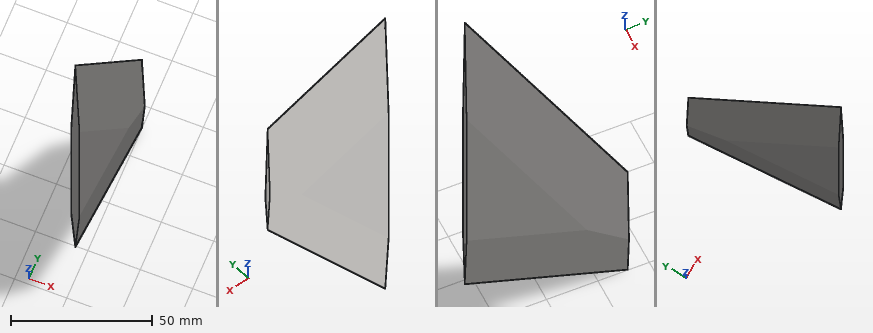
import cadquery as cq

height = 177.8
chord = 63.5
thickness = 3.2
far_edge_top = 56.7
near_edge_bottom = 25.8
bevel_depth = 27.2
upper_bevel_drop = 54.4

upper_slope = (height - far_edge_top) / chord
lower_slope = near_edge_bottom / chord
half_thickness = thickness / 2

outline = [
    (0, near_edge_bottom),
    (chord, 0),
    (chord, far_edge_top),
    (0, height),
]


def wedge_prism(base_edge_z, base_half, edge_z, edge_slope):
    """Prism tapering from base_half at base_edge_z to a sharp edge, swept along the edge slope."""
    far_shift = -edge_slope * chord

    def section(y, shift):
        return cq.Wire.makePolygon(
            [
                cq.Vector(-base_half, y, base_edge_z + shift),
                cq.Vector(base_half, y, base_edge_z + shift),
                cq.Vector(0, y, edge_z + shift),
            ],
            close=True,
        )

    return cq.Workplane(cq.Solid.makeLoft([section(0, 0), section(chord, far_shift)], True))


plate = cq.Workplane("YZ").polyline(outline).close().extrude(half_thickness, both=True)

overrun = 10
upper_wedge = wedge_prism(
    height - overrun * upper_bevel_drop, overrun * half_thickness, height, upper_slope
)
lower_wedge = wedge_prism(
    near_edge_bottom + overrun * bevel_depth, overrun * half_thickness, near_edge_bottom, lower_slope
)

result = plate.intersect(upper_wedge).intersect(lower_wedge)
result = result.translate((0, -chord / 2, -height / 2))